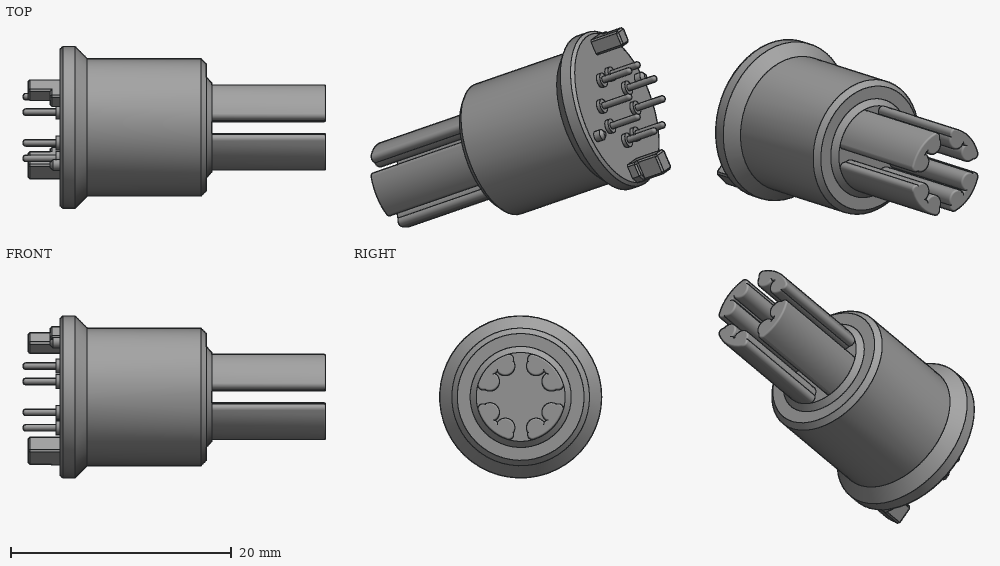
import cadquery as cq
import math

TOTAL_LENGTH = 27.45
FACE_X = 3.35
FLANGE_END_X = 4.72
BODY_END_X = 16.63
NECK_END_X = 17.13

OVERLAP = 0.27

FLANGE_DIAMETER = 14.7
BODY_DIAMETER = 12.5
FLANGE_CHAMFER = 0.27
BODY_CHAMFER = 0.5
NECK_RADIUS = 4.58

PIN_DIAMETER = 0.6
PIN_TIP_ROUND = 0.27
PIN_NEAR = 1.4
PIN_FAR = 2 * PIN_NEAR
COLLAR_DIAMETER = 1.3
COLLAR_HEIGHT = 0.35

SLEEVE_START_X = NECK_END_X - OVERLAP
SLEEVE_RADIUS = 4.04
SLEEVE_WALL = 0.9
SLOT_WIDTH = 1.25
SOCKET_RADIUS = 0.88
FINGER_EDGE_RADIUS = 0.45
FINGER_END_ROUND = 0.16

POST_DIAMETER = 1.0
POST_HEIGHT = 0.9
POST_CHAMFER = 0.3
POST_Y = -3.4
POST_Z = 4.9

KEY_TILT = 45.0
KEY_TOP_X = 0.47
STEP_TOP_X = 2.47
KEY_CHAMFER = 0.16

SMALL_KEY_INNER = 5.1
SMALL_KEY_OUTER = 6.6
SMALL_KEY_START = 0.3
SMALL_KEY_END = 1.8
SMALL_STEP_END = 2.58

LARGE_KEY_INNER = 4.9
LARGE_KEY_OUTER = 6.84
LARGE_KEY_START = 0.08
LARGE_KEY_END = 1.98
LARGE_STEP_END = 2.53
LARGE_STEP_BEVEL = 0.6


def make_body():
    """Flange, barrel and neck as one revolved outline."""
    flange_radius = FLANGE_DIAMETER / 2
    body_radius = BODY_DIAMETER / 2
    cone_length = flange_radius - body_radius
    outline = [
        (FACE_X, 0),
        (FACE_X, flange_radius - FLANGE_CHAMFER),
        (FACE_X + FLANGE_CHAMFER, flange_radius),
        (FLANGE_END_X, flange_radius),
        (FLANGE_END_X + cone_length, body_radius),
        (BODY_END_X - BODY_CHAMFER, body_radius),
        (BODY_END_X, body_radius - BODY_CHAMFER),
        (BODY_END_X, NECK_RADIUS),
        (NECK_END_X, SLEEVE_RADIUS),
        (NECK_END_X, 0),
    ]
    return cq.Workplane("XY").polyline(outline).close().revolve(360, (0, 0, 0), (1, 0, 0))


def make_shell():
    """Tube split by two crossing slots into four round-edged fingers."""
    length = TOTAL_LENGTH - SLEEVE_START_X
    shell = (
        cq.Workplane("YZ", origin=(SLEEVE_START_X, 0, 0))
        .circle(SLEEVE_RADIUS)
        .circle(SLEEVE_RADIUS - SLEEVE_WALL)
        .extrude(length)
    )
    slot_depth = 2 * (SLEEVE_RADIUS + SLOT_WIDTH)
    middle_x = SLEEVE_START_X + length / 2
    for width, height in ((SLOT_WIDTH, slot_depth), (slot_depth, SLOT_WIDTH)):
        slot = cq.Workplane("XY").box(length, width, height)
        shell = shell.cut(slot.translate((middle_x, 0, 0)))
    outer_edges = shell.edges("|X").filter(
        lambda edge: math.hypot(edge.Center().y, edge.Center().z) > SLEEVE_RADIUS - SLEEVE_WALL / 2
    )
    shell = shell.newObject(outer_edges.vals()).fillet(FINGER_EDGE_RADIUS)
    return shell.faces(">X").edges().fillet(FINGER_END_ROUND)


def make_socket(y, z):
    """Round rod inside the sleeve, in line with one contact pin."""
    return (
        cq.Workplane("YZ", origin=(SLEEVE_START_X, y, z))
        .circle(SOCKET_RADIUS)
        .extrude(TOTAL_LENGTH - SLEEVE_START_X)
        .faces(">X")
        .edges()
        .fillet(FINGER_END_ROUND)
    )


def make_pin(y, z):
    """Round-tipped contact pin with a collar at its root."""
    pin = (
        cq.Workplane("YZ", origin=(0, y, z))
        .circle(PIN_DIAMETER / 2)
        .extrude(FACE_X + OVERLAP)
        .faces("<X")
        .edges()
        .fillet(PIN_TIP_ROUND)
    )
    collar = (
        cq.Workplane("YZ", origin=(FACE_X - COLLAR_HEIGHT, y, z))
        .circle(COLLAR_DIAMETER / 2)
        .extrude(COLLAR_HEIGHT + OVERLAP)
    )
    return pin.union(collar)


def make_post(y, z):
    """Short locating post with a chamfered tip."""
    return (
        cq.Workplane("YZ", origin=(FACE_X - POST_HEIGHT, y, z))
        .circle(POST_DIAMETER / 2)
        .extrude(POST_HEIGHT + OVERLAP)
        .faces("<X")
        .edges()
        .chamfer(POST_CHAMFER)
    )


def make_key_block(top_x, start, end, inner, outer, corner=KEY_CHAMFER):
    """Untilted block with bevelled edges, reaching from 'start' to 'end' toward -Y.

    'inner' and 'outer' are heights along Z; 'corner' bevels the far outer corner.
    """
    block = (
        cq.Workplane("YZ", origin=(top_x, 0, 0))
        .moveTo(-start, inner)
        .lineTo(-end, inner)
        .lineTo(-end, outer - corner)
        .lineTo(corner - end, outer)
        .lineTo(-start, outer)
        .close()
        .extrude(FACE_X + OVERLAP - top_x)
    )
    square_corners = block.edges("|X").edges("<Z or >Y")
    block = square_corners.chamfer(KEY_CHAMFER)
    return block.faces("<X").edges().chamfer(KEY_CHAMFER)


def make_small_key():
    """Narrow key with a low step of the same width beside it."""
    sides = (SMALL_KEY_INNER, SMALL_KEY_OUTER)
    tall = make_key_block(KEY_TOP_X, SMALL_KEY_START, SMALL_KEY_END, *sides)
    step = make_key_block(STEP_TOP_X, SMALL_KEY_START, SMALL_STEP_END, *sides)
    return tall.union(step).rotate((0, 0, 0), (1, 0, 0), -KEY_TILT)


def make_large_key():
    """Wide key, opposite the small one, whose low step has a large corner bevel."""
    sides = (LARGE_KEY_INNER, LARGE_KEY_OUTER)
    tall = make_key_block(KEY_TOP_X, LARGE_KEY_START, LARGE_KEY_END, *sides)
    step = make_key_block(STEP_TOP_X, LARGE_KEY_START, LARGE_STEP_END, *sides, LARGE_STEP_BEVEL)
    return tall.union(step).rotate((0, 0, 0), (1, 0, 0), 180 - KEY_TILT)


result = make_body().union(make_shell())

for side_y in (-1, 1):
    for side_z in (-1, 1):
        for y, z in ((PIN_NEAR, PIN_FAR), (PIN_FAR, PIN_NEAR)):
            result = result.union(make_pin(side_y * y, side_z * z))
            result = result.union(make_socket(side_y * y, side_z * z))

for side in (-1, 1):
    result = result.union(make_post(side * POST_Y, side * POST_Z))

result = result.union(make_small_key()).union(make_large_key())